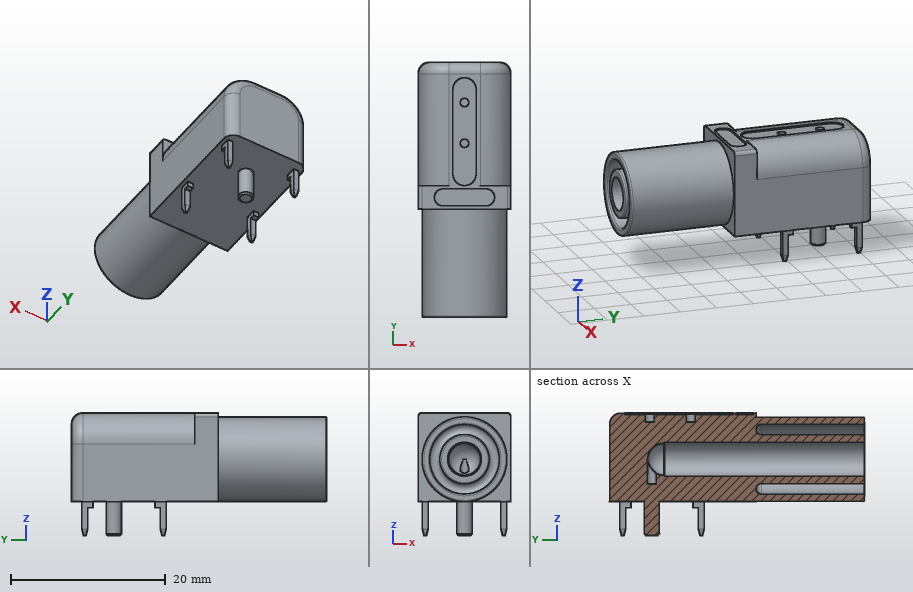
import cadquery as cq
import math


housing_width = 12.0
housing_length = 19.0
barrel_length = 14.0
barrel_diameter = 11.0
housing_top = housing_width / 2
housing_bottom = -barrel_diameter / 2
collar_length = 3.05
collar_corner_radius = 0.5
shoulder_radius = 4.0
back_radius = 1.5

edge_radius = 0.2
groove_outer_diameter = 9.0
groove_inner_diameter = 6.4
groove_depth = barrel_length
bore_diameter = 4.4
tip_diameter = 4.12
tip_chamfer = (bore_diameter - tip_diameter) / 2
cross_hole_diameter = 1.1
cross_hole_offset = 1.55

recess_depth = 0.2
slot_width = 3.0
slot_length = 13.95
label_width = 7.8
label_height = 2.2
gate_hole_diameter = 1.1
gate_hole_depth = 1.0
gate_hole_setbacks = (5.2, 10.5)

leg_length = 4.4
post_diameter = 2.0
post_setback = 5.48
post_chamfer = 0.23
pin_pitch = 10.15
pin_width = 0.8
pin_tip_width = 0.33
pin_tip_length = 0.9
pin_foot_height = 0.8
pin_foot_length = 1.5
rear_pin_setback = 1.7

post_y = housing_length - post_setback


def make_housing():
    """Block with a square collar in front and a rounded back section."""
    height = housing_top - housing_bottom
    back_length = housing_length - collar_length
    collar = (
        cq.Workplane("XY", origin=(0, 0, housing_bottom))
        .box(housing_width, collar_length, height, centered=(True, False, False))
        .edges("|Y and >Z")
        .fillet(collar_corner_radius)
    )
    back = (
        cq.Workplane("XY", origin=(0, collar_length, housing_bottom))
        .box(housing_width, back_length, height, centered=(True, False, False))
        .edges("|Y and >Z")
        .fillet(shoulder_radius)
        .faces(">Y")
        .edges("not <Z")
        .fillet(back_radius)
    )
    return collar.union(back)


def make_barrel():
    """Round barrel with a softened front rim."""
    return (
        cq.Workplane("XZ")
        .circle(barrel_diameter / 2)
        .extrude(barrel_length)
        .faces("<Y")
        .edges()
        .fillet(edge_radius)
    )


def make_groove():
    """Annular groove, with flared rims, between the shroud and the socket sleeve."""
    front = -barrel_length
    outer = groove_outer_diameter / 2
    inner = groove_inner_diameter / 2
    bottom_radius = (outer - inner) / 2
    straight_end = front + groove_depth - bottom_radius
    arc_inset = edge_radius * (1 - math.sqrt(0.5))
    profile = (
        cq.Workplane("XY")
        .moveTo(inner - edge_radius, front)
        .threePointArc((inner - arc_inset, front + arc_inset), (inner, front + edge_radius))
        .lineTo(inner, straight_end)
        .threePointArc((inner + bottom_radius, straight_end + bottom_radius), (outer, straight_end))
        .lineTo(outer, front + edge_radius)
        .threePointArc((outer + arc_inset, front + arc_inset), (outer + edge_radius, front))
        .close()
    )
    return profile.revolve(360, (0, 0, 0), (0, 1, 0))


def make_bore():
    """Socket bore with a domed end and a short cross hole running down from the axis."""
    tip_radius = tip_diameter / 2
    dome_y = post_y - cross_hole_offset
    half_arc = tip_radius * math.sqrt(0.5)
    bore = (
        cq.Workplane("XY")
        .moveTo(0, -barrel_length)
        .lineTo(bore_diameter / 2, -barrel_length)
        .lineTo(bore_diameter / 2, dome_y - tip_chamfer)
        .lineTo(tip_radius, dome_y)
        .threePointArc((half_arc, dome_y + half_arc), (0, dome_y + tip_radius))
        .close()
        .revolve(360, (0, 0, 0), (0, 1, 0))
    )
    cross_hole = (
        cq.Workplane("XY", origin=(0, post_y, 0))
        .circle(cross_hole_diameter / 2)
        .extrude(-groove_inner_diameter / 2)
    )
    return bore.union(cross_hole)


def make_top_recesses():
    """Shallow slot with two round holes in its floor, and the label pocket on the collar."""
    top = cq.Workplane("XY", origin=(0, 0, housing_top))
    slot = (
        top.center(0, collar_length + slot_length / 2)
        .slot2D(slot_length, slot_width, 90)
        .extrude(-recess_depth)
    )
    label = (
        top.center(0, collar_length / 2)
        .slot2D(label_width, label_height)
        .extrude(-recess_depth)
    )
    holes = (
        top.pushPoints([(0, housing_length - setback) for setback in gate_hole_setbacks])
        .circle(gate_hole_diameter / 2)
        .extrude(-recess_depth - gate_hole_depth)
    )
    return slot.union(label).union(holes)


def make_post():
    """Round locating post with a chamfered end."""
    return (
        cq.Workplane("XY", origin=(0, post_y, housing_bottom))
        .circle(post_diameter / 2)
        .extrude(-leg_length)
        .faces("<Z")
        .chamfer(post_chamfer)
    )


def make_pin(x, y, foot_direction):
    """Square pin with a tapered tip and a foot pointing along Y in foot_direction."""
    shank_length = leg_length - pin_tip_length
    shank = (
        cq.Workplane("XY", origin=(x, y, housing_bottom))
        .rect(pin_width, pin_width)
        .extrude(-shank_length)
    )
    tip = (
        cq.Workplane("XY", origin=(x, y, housing_bottom - shank_length))
        .rect(pin_width, pin_width)
        .workplane(offset=-pin_tip_length)
        .rect(pin_tip_width, pin_tip_width)
        .loft()
    )
    foot_y = y + foot_direction * (pin_foot_length - pin_width) / 2
    foot = (
        cq.Workplane("XY", origin=(x, foot_y, housing_bottom))
        .rect(pin_width, pin_foot_length)
        .extrude(-pin_foot_height)
    )
    return shank.union(tip).union(foot)


result = make_housing().union(make_barrel())
result = result.cut(make_groove()).cut(make_bore()).cut(make_top_recesses())
result = result.union(make_post())

rear_pin_y = housing_length - rear_pin_setback
front_pin_y = rear_pin_y - pin_pitch
for pin_x in (-pin_pitch / 2, pin_pitch / 2):
    result = result.union(make_pin(pin_x, rear_pin_y, -1))
    result = result.union(make_pin(pin_x, front_pin_y, 1))